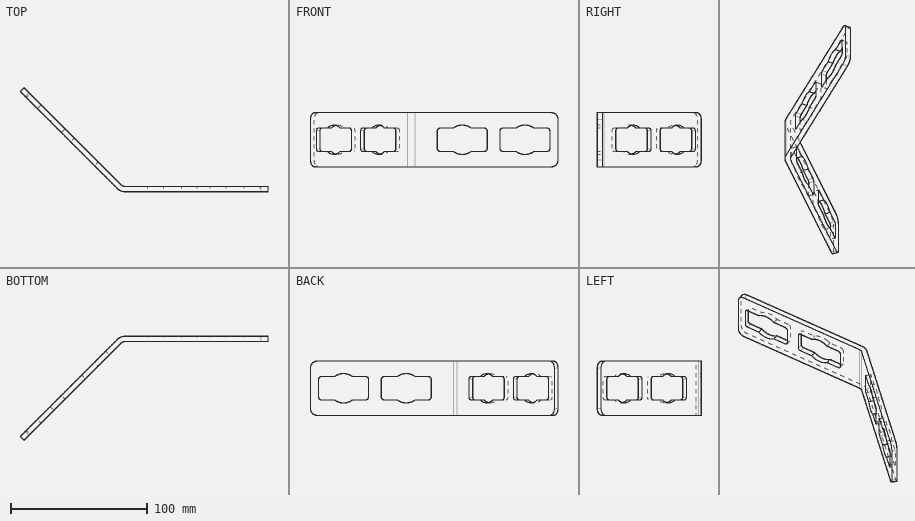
import cadquery as cq
import math

overall_length = 182.0
strip_height = 40.0
thickness = 4.0
bend_angle = 45.0
inner_bend_radius = 3.6
straight_leg_length = 105.2
straight_corner_radius = 5.1
angled_corner_radius = 5.1

slot_length = 36.4
slot_height = 17.0
slot_corner_radius = 1.8
slot_circle_diameter = 21.5
slot_end_offset = 24.4
slot_pitch = 46.0

outer_bend_radius = inner_bend_radius + thickness
bend_radians = math.radians(bend_angle)
bend_run = outer_bend_radius * math.sin(bend_radians)
angled_leg_length = (overall_length - straight_leg_length - bend_run) / math.cos(bend_radians)


def make_leg(length, corner_radius):
    """Leg from the bend at X = 0 to its free end, with the outer face on Y = 0."""
    leg = cq.Workplane("XY").box(length, thickness, strip_height, centered=(False, False, True))
    leg = leg.edges("|Y and >X").fillet(corner_radius)
    for slot_index in range(2):
        slot_x = length - slot_end_offset - slot_index * slot_pitch
        window = (
            cq.Workplane("XY")
            .box(slot_length, thickness, slot_height, centered=(True, False, True))
            .edges("|Y")
            .fillet(slot_corner_radius)
        )
        circle = cq.Workplane("XZ").circle(slot_circle_diameter / 2).extrude(-thickness)
        leg = leg.cut(window.union(circle).translate((slot_x, 0, 0)))
    return leg


def make_bend():
    """Bend sector starting at X = 0 and turning toward -X and +Y."""
    def arc_point(radius, angle):
        return (-radius * math.sin(angle), outer_bend_radius - radius * math.cos(angle))

    half_angle = bend_radians / 2
    return (
        cq.Workplane("XY")
        .moveTo(0, 0)
        .threePointArc(arc_point(outer_bend_radius, half_angle), arc_point(outer_bend_radius, bend_radians))
        .lineTo(*arc_point(inner_bend_radius, bend_radians))
        .threePointArc(arc_point(inner_bend_radius, half_angle), (0, thickness))
        .close()
        .extrude(strip_height / 2, both=True)
    )


straight_leg = make_leg(straight_leg_length, straight_corner_radius)

bend_centre = (0, outer_bend_radius, 0)
bend_axis_end = (0, outer_bend_radius, -1)
angled_leg = (
    make_leg(angled_leg_length, angled_corner_radius)
    .mirror("YZ")
    .rotate(bend_centre, bend_axis_end, bend_angle)
)

result = straight_leg.union(make_bend()).union(angled_leg)